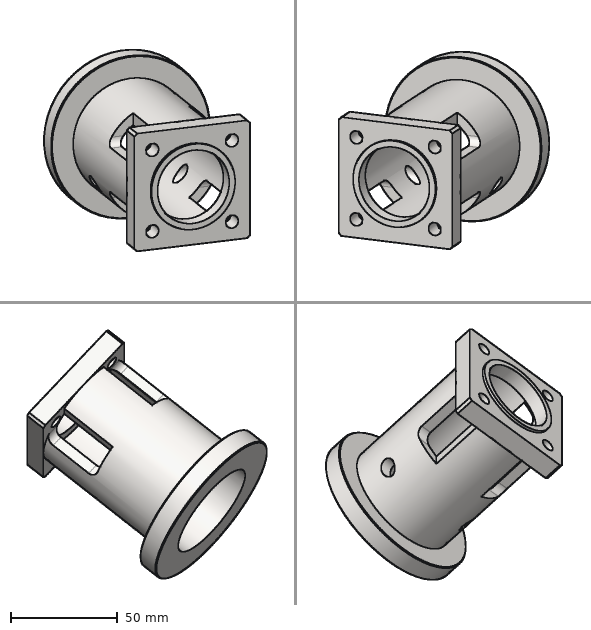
import cadquery as cq

total_length = 90.5
flange_thickness = 10.0
plate_thickness = 10.05
spigot_length = 1.45
bore_depth_in_plate = 4.0
plate_end = total_length - spigot_length
plate_start = plate_end - plate_thickness
bore_end = plate_start + bore_depth_in_plate

flange_diameter = 80.0
tube_diameter = 58.0
bore_diameter = 48.0
spigot_diameter = 42.0
spigot_bore_diameter = 36.0
flange_chamfer = 0.45

plate_side = tube_diameter
plate_chamfer = 1.4
bolt_hole_diameter = 6.2
bolt_spacing = 40.0

window_length = 30.0
window_inner_y = 14.1
window_inner_z = 10.95
window_corner_radius = 4.0

cross_hole_diameter = 8.0
cross_hole_x = 27.0
cross_hole_z = -14.9


def cylinder(diameter, start, end):
    """Cylinder on the X axis between two X positions."""
    return cq.Workplane("YZ", origin=(start, 0, 0)).circle(diameter / 2).extrude(end - start)


def make_plate():
    """Square plate with its four corners chamfered."""
    plate = cq.Workplane("YZ", origin=(plate_start, 0, 0)).rect(plate_side, plate_side)
    return plate.extrude(plate_thickness).edges("|X").chamfer(plate_chamfer)


def make_window(y_side, z_side):
    """Corner block whose inner edges along Y are rounded."""
    depth = tube_diameter / 2 - window_inner_y
    height = tube_diameter / 2 - window_inner_z
    center = (
        plate_start - window_length / 2,
        y_side * (window_inner_y + depth / 2),
        z_side * (window_inner_z + height / 2),
    )
    inner_edges = "|Y and <Z" if z_side > 0 else "|Y and >Z"
    block = cq.Workplane("XY").box(window_length, depth, height)
    return block.edges(inner_edges).fillet(window_corner_radius).translate(center)


tube = cylinder(tube_diameter, 0, plate_start)
for y_side in (-1, 1):
    for z_side in (-1, 1):
        tube = tube.cut(make_window(y_side, z_side))

flange = cylinder(flange_diameter, 0, flange_thickness).edges().chamfer(flange_chamfer)
spigot = cylinder(spigot_diameter, plate_end, total_length)
body = tube.union(flange).union(make_plate()).union(spigot)

body = body.cut(cylinder(bore_diameter, 0, bore_end))
body = body.cut(cylinder(spigot_bore_diameter, bore_end, total_length))

bolt_holes = (
    cq.Workplane("YZ", origin=(plate_start, 0, 0))
    .rect(bolt_spacing, bolt_spacing, forConstruction=True)
    .vertices()
    .circle(bolt_hole_diameter / 2)
    .extrude(plate_thickness)
)
body = body.cut(bolt_holes)

cross_hole = (
    cq.Workplane("XZ", origin=(cross_hole_x, 0, cross_hole_z))
    .circle(cross_hole_diameter / 2)
    .extrude(tube_diameter / 2, both=True)
)
result = body.cut(cross_hole)